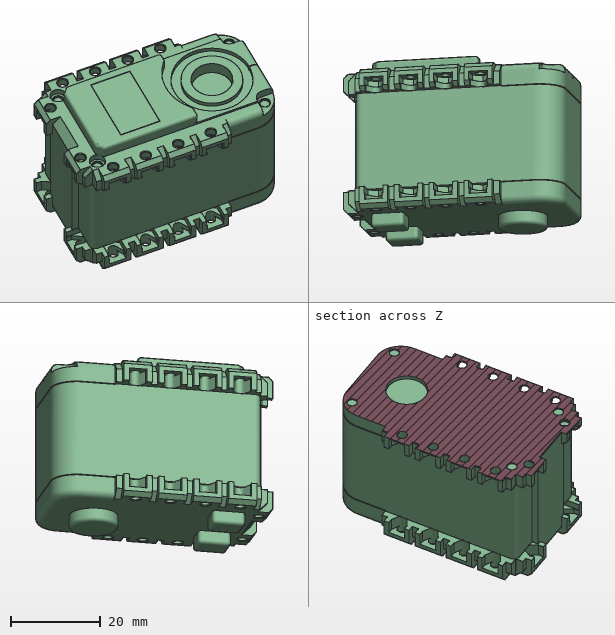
import cadquery as cq
import math


BODY_HALF_WIDTH = 13.0
BODY_HALF_HEIGHT = 16.0
REAR_Y = 11.5
FRONT_Y = -35.5
REAR_CORNER_R = 6.0
FRONT_CORNER_R = 1.5
EDGE_R = 1.5
SPINE_HALF_WIDTH = 5.75
SPINE_Y = -37.0
PARTING_WIDTH = 0.12
PARTING_DEPTH = 0.1

PLATE_HALF_WIDTH = 10.0
PLATE_Z = 16.5
HORN_RECESS_R = 9.15
HORN_RECESS_DEPTH = 1.0
HORN_R = 6.9
HORN_BORE_R = 4.65
HORN_BORE_DEPTH = 3.1
INDEX_WIDTH = 0.15
INDEX_DEPTH = EDGE_R

COVER_Z = 19.0
COVER_REAR_Y = -8.0
COVER_FRONT_Y = -32.5
COVER_R = 0.8
COVER_TOP_R = 0.75
COVER_HORN_CLEARANCE_R = 11.2
LABEL_SIZE = (16.0, 9.6)
LABEL_Y = -21.3
LABEL_DEPTH = 0.15

SEAT_Z = 14.5
SCREW_HOLE_R = 1.1
SCREW_HOLE_DEPTH = 0.5
SCREW_CHAMFER = 0.15
REAR_SCREW = (9.55, 8.6)
REAR_SEAT_R = 1.85
FRONT_SCREW = (10.5, -33.0)
FRONT_COUNTERBORE_R = 1.78

FLANGE_INNER_Z = 11.05
LEDGE_HALF_WIDTH = 14.5
LEDGE_REAR_Y = -1.9
LEDGE_FRONT_Y = -35.1
LEDGE_CHAMFER = 1.9
END_LEDGE_HALF_WIDTH = 12.5
PAD_PITCH = 8.0
PAD_WIDTH = 6.5
PAD_OVERHANG = 2.5
PAD_INBOARD = 1.5
PAD_CHAMFER = 1.0
SIDE_HOLE_X = 13.5
FIRST_SIDE_HOLE_Y = -6.5
SIDE_HOLE_COUNT = 4
SIDE_HOLE_YS = [FIRST_SIDE_HOLE_Y - PAD_PITCH * i for i in range(SIDE_HOLE_COUNT)]
END_HOLE_X = 8.0
END_HOLE_Y = -36.0
MOUNT_HOLE_R = 1.1
MOUNT_HOLE_CHAMFER = 0.2
POCKET_WIDTH = 4.0
POCKET_TOP_Z = 14.0
POCKET_TAPER = math.radians(60)
NUT_WIDTH = 4.3
NUT_HEIGHT = 1.6
NUT_HALF_SECTOR = math.radians(30)

BOTTOM_Z = -19.0
PIVOT_R = 5.5
FOOT_INNER_X = 4.0
FOOT_OUTER_X = 10.0
FOOT_REAR_Y = -25.1
FOOT_FRONT_Y = -32.5
FOOT_R = 0.8
FOOT_BOTTOM_R = 0.75

SIDES = (-1, 1)
CLEARANCE = 1.0


def block(x0, x1, y0, y1, z0, z1):
    """Axis-aligned box given by its limits."""
    return cq.Workplane("XY").box(x1 - x0, y1 - y0, z1 - z0, centered=False).translate((x0, y0, z0))


def cylinder(x, y, radius, z0, z1):
    """Upright cylinder between two heights."""
    return cq.Workplane("XY").circle(radius).extrude(z1 - z0).translate((x, y, z0))


def chamfered_hole(radius, chamfer, z0, z1):
    """Hole on the Z axis whose upper rim is chamfered."""
    cone = cq.Solid.makeCone(radius, radius + chamfer, chamfer, cq.Vector(0, 0, z1 - chamfer))
    return cylinder(0, 0, radius, z0, z1).union(cq.Workplane(cone))


def body_prism(z0, z1, inset=0.0):
    """Body outline, optionally shrunk, extruded between two heights."""
    prism = block(
        -BODY_HALF_WIDTH + inset, BODY_HALF_WIDTH - inset, FRONT_Y + inset, REAR_Y - inset, z0, z1
    )
    prism = prism.edges("|Z and >Y").fillet(REAR_CORNER_R - inset)
    return prism.edges("|Z and <Y").fillet(FRONT_CORNER_R - inset)


def main_body():
    body = body_prism(-BODY_HALF_HEIGHT, BODY_HALF_HEIGHT).faces("|Z").edges().fillet(EDGE_R)
    spine = block(
        -SPINE_HALF_WIDTH, SPINE_HALF_WIDTH, SPINE_Y, FRONT_Y + CLEARANCE, -FLANGE_INNER_Z, FLANGE_INNER_Z
    )
    return body.union(spine)


def parting_groove():
    """Fine groove below the upper case joint, around the rear of the body."""
    z0 = FLANGE_INNER_Z - PARTING_WIDTH
    groove = block(
        -BODY_HALF_WIDTH, BODY_HALF_WIDTH, LEDGE_REAR_Y, REAR_Y, z0, FLANGE_INNER_Z
    )
    return groove.cut(body_prism(z0, FLANGE_INNER_Z, PARTING_DEPTH))


def horn_plate():
    plate = body_prism(FLANGE_INNER_Z, PLATE_Z).faces(">Z").edges().fillet(EDGE_R)
    front_y = -COVER_HORN_CLEARANCE_R - CLEARANCE
    limits = block(
        -PLATE_HALF_WIDTH, PLATE_HALF_WIDTH, front_y, REAR_Y, FLANGE_INNER_Z, PLATE_Z
    )
    return plate.intersect(limits)


def cover():
    """Cover block, relieved around the two front screws and the horn."""
    shape = block(
        -PLATE_HALF_WIDTH, PLATE_HALF_WIDTH, COVER_FRONT_Y, COVER_REAR_Y, SEAT_Z, COVER_Z
    )
    for side in SIDES:
        relief = cylinder(side * FRONT_SCREW[0], FRONT_SCREW[1], FRONT_COUNTERBORE_R, SEAT_Z, COVER_Z)
        shape = shape.cut(relief)
    shape = shape.edges("|Z").fillet(COVER_R)
    shape = shape.faces(">Z").edges().fillet(COVER_TOP_R)
    shape = shape.cut(cylinder(0, 0, COVER_HORN_CLEARANCE_R, PLATE_Z, COVER_Z))
    label = (
        cq.Workplane("XY", origin=(0, LABEL_Y, COVER_Z - LABEL_DEPTH)).rect(*LABEL_SIZE).extrude(LABEL_DEPTH)
    )
    return shape.cut(label)


def horn_cuts():
    """Ring recess around the horn, the horn bore and the index mark behind it."""
    recess_z = PLATE_Z - HORN_RECESS_DEPTH
    ring = cylinder(0, 0, HORN_RECESS_R, recess_z, PLATE_Z).cut(cylinder(0, 0, HORN_R, recess_z, PLATE_Z))
    bore = cylinder(0, 0, HORN_BORE_R, PLATE_Z - HORN_BORE_DEPTH, PLATE_Z)
    half_mark = INDEX_WIDTH / 2
    mark = block(-half_mark, half_mark, HORN_RECESS_R - INDEX_WIDTH, REAR_Y, PLATE_Z - INDEX_DEPTH, PLATE_Z)
    return ring.union(bore).union(mark)


def screw_hole(x, y):
    """Shallow chamfered hole sunk below a screw seat."""
    return chamfered_hole(SCREW_HOLE_R, SCREW_CHAMFER, SEAT_Z - SCREW_HOLE_DEPTH, SEAT_Z).translate((x, y, 0))


def screw_seats(side):
    """Open rear corner seat and front counterbore on one side, with their holes."""
    rear_x, rear_y = side * REAR_SCREW[0], REAR_SCREW[1]
    inner_x = REAR_SCREW[0] - REAR_SEAT_R
    outer_x = BODY_HALF_WIDTH + CLEARANCE
    x0, x1 = sorted((side * inner_x, side * outer_x))
    seat = block(x0, x1, rear_y - REAR_SEAT_R, REAR_Y + CLEARANCE, SEAT_Z, PLATE_Z)
    inner_edge = "<X" if side > 0 else ">X"
    seat = seat.edges("|Z and <Y and " + inner_edge).fillet(REAR_SEAT_R)
    front_x, front_y = side * FRONT_SCREW[0], FRONT_SCREW[1]
    counterbore = cylinder(front_x, front_y, FRONT_COUNTERBORE_R, SEAT_Z, BODY_HALF_HEIGHT)
    cuts = seat.union(counterbore)
    return cuts.union(screw_hole(rear_x, rear_y)).union(screw_hole(front_x, front_y))


def ledges():
    """Upper flange without its pads: side ledges and end ledge with sloping rims."""
    side_ledge = block(
        -LEDGE_HALF_WIDTH, LEDGE_HALF_WIDTH, LEDGE_FRONT_Y, LEDGE_REAR_Y, FLANGE_INNER_Z, BODY_HALF_HEIGHT
    )
    side_ledge = side_ledge.edges("|Y and >Z").chamfer(LEDGE_CHAMFER)
    end_ledge = block(
        -END_LEDGE_HALF_WIDTH, END_LEDGE_HALF_WIDTH, SPINE_Y, LEDGE_REAR_Y, FLANGE_INNER_Z, BODY_HALF_HEIGHT
    )
    return side_ledge.union(end_ledge.edges("|X and >Z and <Y").chamfer(LEDGE_CHAMFER))


def pad(chamfer_below):
    """Upper pad around a hole on the Z axis, facing -Y."""
    shape = block(
        -PAD_WIDTH / 2, PAD_WIDTH / 2, -PAD_OVERHANG, PAD_INBOARD, FLANGE_INNER_Z, BODY_HALF_HEIGHT
    )
    edges = "|X and <Y" if chamfer_below else "|X and <Y and >Z"
    return shape.edges(edges).chamfer(PAD_CHAMFER)


def pad_pocket():
    """Upper mounting hole on the Z axis and the tapered pocket opening towards -Y."""
    tangent_x = MOUNT_HOLE_R * math.sin(POCKET_TAPER)
    tangent_y = MOUNT_HOLE_R * math.cos(POCKET_TAPER)
    half_width = POCKET_WIDTH / 2
    shoulder_y = tangent_y - (half_width - tangent_x) * math.tan(POCKET_TAPER)
    pocket = (
        cq.Workplane("XY", origin=(0, 0, FLANGE_INNER_Z))
        .moveTo(-half_width, -PAD_OVERHANG)
        .lineTo(-half_width, shoulder_y)
        .lineTo(-tangent_x, tangent_y)
        .threePointArc((0, MOUNT_HOLE_R), (tangent_x, tangent_y))
        .lineTo(half_width, shoulder_y)
        .lineTo(half_width, -PAD_OVERHANG)
        .close()
        .extrude(POCKET_TOP_Z - FLANGE_INNER_Z)
    )
    return pocket.union(chamfered_hole(MOUNT_HOLE_R, MOUNT_HOLE_CHAMFER, POCKET_TOP_Z, BODY_HALF_HEIGHT))


def nut_slot(z0):
    """Slot for a hexagonal nut on the Z axis, opening towards -Y."""
    half_width = NUT_WIDTH / 2
    point_y = half_width / math.cos(NUT_HALF_SECTOR)
    shoulder_y = point_y / 2
    return (
        cq.Workplane("XY", origin=(0, 0, z0))
        .moveTo(-half_width, -PAD_OVERHANG)
        .lineTo(-half_width, shoulder_y)
        .lineTo(0, point_y)
        .lineTo(half_width, shoulder_y)
        .lineTo(half_width, -PAD_OVERHANG)
        .close()
        .extrude(NUT_HEIGHT)
    )


def placed(shape, place):
    """Move a pad-local shape to its (x, y, turn) place on the flange."""
    x, y, turn = place
    return shape.rotate((0, 0, 0), (0, 0, 1), turn).translate((x, y, 0))


def add_flanges(body):
    """Add both flanges and cut their pockets.

    Pads on the +X half take nut slots, and on the upper flange are also chamfered below.
    """
    plain_places = [(-SIDE_HOLE_X, y, -90) for y in SIDE_HOLE_YS] + [(-END_HOLE_X, END_HOLE_Y, 0)]
    nut_places = [(SIDE_HOLE_X, y, 90) for y in SIDE_HOLE_YS] + [(END_HOLE_X, END_HOLE_Y, 0)]
    all_places = plain_places + nut_places
    upper_ledges = ledges()
    upper_pocket = pad_pocket()
    lower_pocket = upper_pocket.mirror("XY")
    lower_pad = pad(False).mirror("XY")
    additions = [upper_ledges, upper_ledges.mirror("XY")]
    cuts = []
    for place in all_places:
        additions.append(placed(pad(place in nut_places), place))
        additions.append(placed(lower_pad, place))
        cuts.append(placed(upper_pocket, place))
        cuts.append(placed(lower_pocket, place))
    for place in nut_places:
        cuts.append(placed(nut_slot(POCKET_TOP_Z - NUT_HEIGHT), place))
        cuts.append(placed(nut_slot(-FLANGE_INNER_Z - NUT_HEIGHT), place))
    joined = body.val().fuse(*[item.val() for item in additions]).clean()
    return cq.Workplane(joined.cut(*[item.val() for item in cuts]).clean())


def pivot_boss():
    boss = cylinder(0, 0, PIVOT_R, BOTTOM_Z, -FLANGE_INNER_Z)
    return boss.faces("<Z").edges().fillet(FOOT_R)


def foot(side):
    x0, x1 = sorted((side * FOOT_INNER_X, side * FOOT_OUTER_X))
    shape = block(x0, x1, FOOT_FRONT_Y, FOOT_REAR_Y, BOTTOM_Z, -FLANGE_INNER_Z)
    return shape.edges("|Z").fillet(FOOT_R).faces("<Z").edges().fillet(FOOT_BOTTOM_R)


result = main_body().cut(parting_groove()).cut(parting_groove().mirror("XY"))
result = add_flanges(result)
result = result.union(horn_plate()).union(cover()).cut(horn_cuts())
result = result.union(pivot_boss())
for body_side in SIDES:
    result = result.cut(screw_seats(body_side))
    result = result.union(foot(body_side))